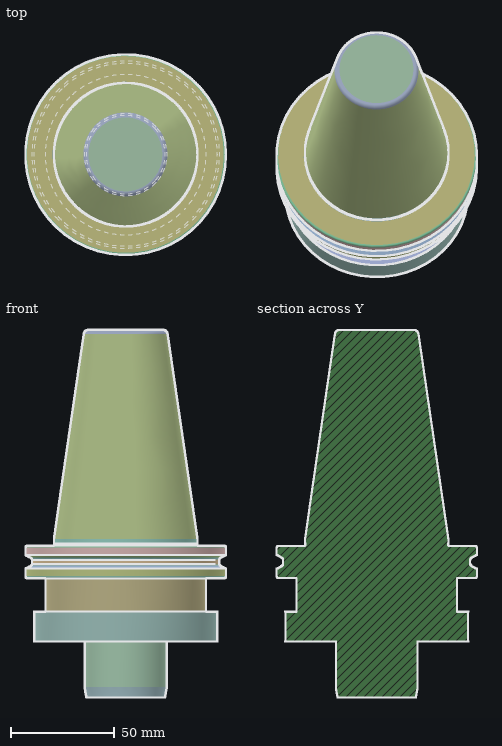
import cadquery as cq
import math


gauge_diameter = 69.85
taper_ratio = 7 / 24
taper_length = 101.6
tip_round_radius = 2.5

band_length = 3.2
undercut_height = 1.1
undercut_depth = 0.3
undercut_fillet_radius = 0.7

flange_diameter = 97.45
flange_thickness = 15.9
flange_edge_radius = 1.0
groove_floor_diameter = 91.0
groove_floor_width = 3.3
groove_corner_radius = 1.0
groove_flank_angle = 63.0
groove_center_depth = 7.9

neck_diameter = 78.0
neck_length = 16.1
collar_diameter = 88.9
collar_thickness = 14.6
pilot_diameter = 40.0
total_length = 178.6
pilot_lead_length = 5.0
pilot_lead_angle = 10.0

tip_z = taper_length
flange_top_z = -band_length
flange_bottom_z = flange_top_z - flange_thickness
neck_bottom_z = flange_bottom_z - neck_length
collar_bottom_z = neck_bottom_z - collar_thickness
pilot_bottom_z = tip_z - total_length


def cylinder(diameter, bottom_z, top_z):
    """Cylinder on the Z axis between two levels."""
    return cq.Workplane("XY").workplane(offset=bottom_z).circle(diameter / 2).extrude(top_z - bottom_z)


def revolve_outline(points):
    """Solid of revolution about Z from (radius, z) points."""
    return cq.Workplane("XZ").polyline(points).close().revolve(360, (0, 0, 0), (0, 1, 0))


def make_shank():
    """Taper with a rounded tip, standing on its undercut cylindrical band."""
    gauge_radius = gauge_diameter / 2
    tip_radius = gauge_radius - taper_length * taper_ratio / 2
    undercut_radius = gauge_radius - undercut_depth
    undercut_top_z = flange_top_z + undercut_height
    shank = revolve_outline([
        (0, flange_top_z),
        (undercut_radius, flange_top_z),
        (undercut_radius, undercut_top_z),
        (gauge_radius, undercut_top_z),
        (gauge_radius, 0),
        (tip_radius, tip_z),
        (0, tip_z),
    ])
    return shank.faces(">Z").edges().fillet(tip_round_radius)


def make_groove_cutter():
    """Ring with a trapezoid section, rounded at its two inner corners, that cuts the V-groove."""
    floor_radius = groove_floor_diameter / 2
    rim_radius = flange_diameter / 2
    center_z = flange_top_z - groove_center_depth
    floor_half_width = groove_floor_width / 2
    flank_height = (rim_radius - floor_radius) / math.tan(math.radians(groove_flank_angle))
    rim_half_width = floor_half_width + flank_height
    ring = revolve_outline([
        (floor_radius, center_z - floor_half_width),
        (rim_radius, center_z - rim_half_width),
        (rim_radius, center_z + rim_half_width),
        (floor_radius, center_z + floor_half_width),
    ])
    floor_corners = ring.edges(cq.selectors.RadiusNthSelector(0))
    return floor_corners.fillet(groove_corner_radius)


def make_flange():
    """Disc with rounded outer edges and the V-groove around its rim."""
    disc = cylinder(flange_diameter, flange_bottom_z, flange_top_z)
    return disc.edges("%CIRCLE").fillet(flange_edge_radius).cut(make_groove_cutter())


def make_pilot():
    """Pilot pin with a slim conical lead at its lower end."""
    pilot = cylinder(pilot_diameter, pilot_bottom_z, collar_bottom_z)
    lead_inset = pilot_lead_length * math.tan(math.radians(pilot_lead_angle))
    return pilot.faces("<Z").chamfer(pilot_lead_length, lead_inset)


def make_shank_and_flange():
    """Shank on its flange, with a small fillet where the undercut meets the flange face."""
    body = make_shank().union(make_flange())
    foot_z = flange_top_z
    foot_tolerance = 0.01
    reach = gauge_diameter / 2 + foot_tolerance
    foot_edge = body.edges(cq.selectors.BoxSelector(
        (-reach, -reach, foot_z - foot_tolerance),
        (reach, reach, foot_z + foot_tolerance),
        boundingbox=True,
    ))
    return foot_edge.fillet(undercut_fillet_radius)


neck = cylinder(neck_diameter, neck_bottom_z, flange_bottom_z)
collar = cylinder(collar_diameter, collar_bottom_z, neck_bottom_z)

result = make_shank_and_flange().union(neck).union(collar).union(make_pilot())